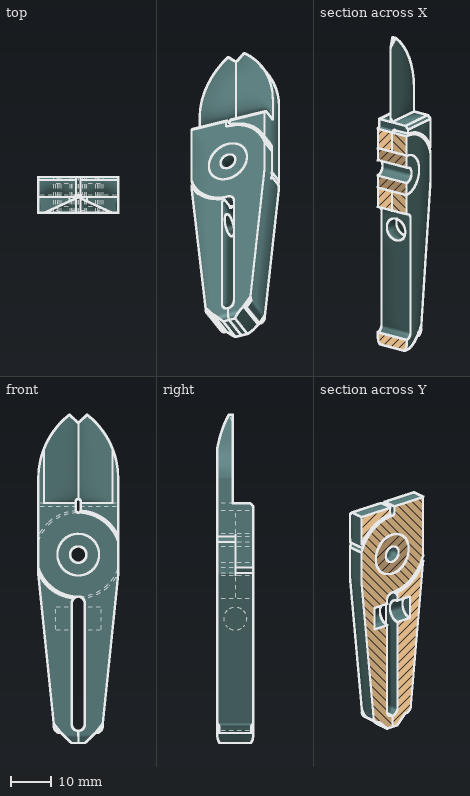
import cadquery as cq
import math


thickness = 9.0
lap_y = thickness / 2
half_width = 10.0
total_length = 82.0
tip_z = 34.9
bottom_z = tip_z - total_length

jaw_arc_radius = 20.0
jaw_arc_start_z = 19.0
tip_half_gap = 2.2
notch_depth = 2.05
blade_thickness = 3.9
bevel_half_width = 8.5
shoulder_z = 12.9
shoulder_chamfer = 0.8

hub_radius = 10.5
clearance_radius = 11.0
pin_radius = 5.21
pin_bore_radius = 2.01

slit_width = 1.15
slit_top_z = 13.85
slot_width = 3.2
slot_bottom_z = -43.95

spring_seat_radius = 2.9
spring_seat_depth = 4.0
spring_seat_z = -16.0

taper_start_z = -4.9
handle_end_half_width = 6.15
corner_start_z = -42.15
corner_arc_end_x = 4.75
corner_bottom_z = -44.5
toe_top_half_width = 4.3
toe_half_width = 1.6
toe_bevel_top_z = -45.2
toe_bevel_depth = 0.65
corner_bevel_end_x = 3.8
corner_bevel_width = 0.5
corner_bevel_depth = 0.6

FRONT, BACK = "front", "back"


def prism(sketch, y_start, y_end):
    """Extrude a closed XZ sketch between two Y positions."""
    return sketch.extrude(-(y_end - y_start)).translate((0, y_start, 0))


def disc(radius, y_start, y_end):
    return prism(cq.Workplane("XZ").circle(radius), y_start, y_end)


def half_profile():
    """Full-thickness plate for everything at X >= 0."""
    arc_centre_x = half_width - jaw_arc_radius
    tip_angle = math.atan2(tip_z - jaw_arc_start_z, tip_half_gap - arc_centre_x)
    arc_mid = (
        arc_centre_x + jaw_arc_radius * math.cos(tip_angle / 2),
        jaw_arc_start_z + jaw_arc_radius * math.sin(tip_angle / 2),
    )
    corner_mid = (
        corner_arc_end_x + (handle_end_half_width - corner_arc_end_x) * math.sqrt(0.5),
        corner_start_z + (corner_bottom_z - corner_start_z) * math.sqrt(0.5),
    )
    sketch = (
        cq.Workplane("XZ")
        .moveTo(0, bottom_z)
        .lineTo(toe_half_width, bottom_z)
        .lineTo(toe_top_half_width, corner_bottom_z)
        .lineTo(corner_arc_end_x, corner_bottom_z)
        .threePointArc(corner_mid, (handle_end_half_width, corner_start_z))
        .lineTo(half_width, taper_start_z)
        .lineTo(half_width, jaw_arc_start_z)
        .threePointArc(arc_mid, (tip_half_gap, tip_z))
        .lineTo(0, tip_z - notch_depth)
        .close()
    )
    return prism(sketch, 0, thickness)


def rounded_slot(width, z_low, z_high):
    sketch = (
        cq.Workplane("XZ")
        .center(0, (z_low + z_high) / 2)
        .slot2D(z_high - z_low, width, 90)
    )
    return prism(sketch, 0, thickness)


def blade_relief():
    """Space behind the blades, with the chamfer of the shoulder below it."""
    return (
        cq.Workplane("YZ")
        .moveTo(blade_thickness, shoulder_z)
        .lineTo(thickness - shoulder_chamfer, shoulder_z)
        .lineTo(thickness, shoulder_z - shoulder_chamfer)
        .lineTo(thickness, tip_z)
        .lineTo(blade_thickness, tip_z)
        .close()
        .extrude(half_width)
    )


def cutting_bevel():
    """Wedge that slopes the blade front back to a cutting edge at X = 0."""
    return (
        cq.Workplane("XY")
        .workplane(offset=shoulder_z)
        .polyline([(0, 0), (bevel_half_width, 0), (0, blade_thickness)])
        .close()
        .extrude(tip_z - shoulder_z)
    )


def toe_bevel():
    """Cutter that rounds the front of the toe with a convex arc."""
    height = toe_bevel_top_z - bottom_z
    half_angle = math.atan2(toe_bevel_depth, height)
    radius = height / math.sin(2 * half_angle)
    arc_mid = (
        radius * (1 - math.cos(half_angle)),
        toe_bevel_top_z - radius * math.sin(half_angle),
    )
    return (
        cq.Workplane("YZ")
        .moveTo(0, toe_bevel_top_z)
        .threePointArc(arc_mid, (toe_bevel_depth, bottom_z))
        .lineTo(0, bottom_z)
        .close()
        .extrude(half_width)
    )


def corner_bevel():
    """Wedge along the slanted front edge of the handle corner."""
    run_x = handle_end_half_width - corner_bevel_end_x
    run_z = corner_start_z - toe_bevel_top_z
    edge = cq.Plane(
        origin=(corner_bevel_end_x, 0, toe_bevel_top_z),
        xDir=(run_z, 0, -run_x),
        normal=(run_x, 0, run_z),
    )
    return (
        cq.Workplane(edge)
        .polyline([(0, 0), (corner_bevel_width, 0), (corner_bevel_width, corner_bevel_depth)])
        .close()
        .extrude(math.hypot(run_x, run_z))
    )


def spring_seat():
    return (
        cq.Workplane("YZ")
        .center(lap_y, spring_seat_z)
        .circle(spring_seat_radius)
        .extrude(slot_width / 2 + spring_seat_depth)
    )


def mirror_thickness(shape):
    return shape.mirror("XZ", (0, lap_y, 0))


def right_side():
    """Jaw and handle at X >= 0 with their bevels, slots and spring seat, before the lap joint."""
    side = half_profile().cut(blade_relief()).cut(cutting_bevel())
    for bevel in (toe_bevel(), corner_bevel()):
        side = side.cut(bevel).cut(mirror_thickness(bevel))
    slit = rounded_slot(slit_width, hub_radius, slit_top_z)
    slot = rounded_slot(slot_width, slot_bottom_z, -hub_radius)
    return side.cut(slit).cut(slot).cut(spring_seat())


def z_range(shape, z_low, z_high):
    block = (
        cq.Workplane("XY")
        .workplane(offset=z_low)
        .rect(2 * half_width, 4 * thickness)
        .extrude(z_high - z_low)
    )
    return shape.intersect(block)


def cutter_half(jaw_side, handle_side, hub_layer):
    """Jaw on one side, handle on the other, joined by a hub in one layer."""
    layers = {FRONT: (0, lap_y), BACK: (lap_y, thickness)}
    other_layer = BACK if hub_layer == FRONT else FRONT
    arms = z_range(jaw_side, 0, tip_z).union(z_range(handle_side, bottom_z, 0))
    arms = arms.cut(disc(clearance_radius, *layers[other_layer]))
    hub_width = cq.Workplane("XY").box(2 * half_width, 4 * thickness, 4 * hub_radius)
    hub = disc(hub_radius, *layers[hub_layer]).intersect(hub_width)
    return arms.union(hub).cut(disc(pin_radius, 0, thickness))


def pivot_pin():
    return disc(pin_radius, 0, thickness).cut(disc(pin_bore_radius, 0, thickness))


right_arm = right_side()
left_arm = right_arm.mirror("YZ")

front_half = cutter_half(left_arm, right_arm, FRONT)
back_half = cutter_half(right_arm, left_arm, BACK)
pin = pivot_pin()

result = cq.Compound.makeCompound(
    [front_half.solids().val(), back_half.solids().val(), pin.solids().val()]
)